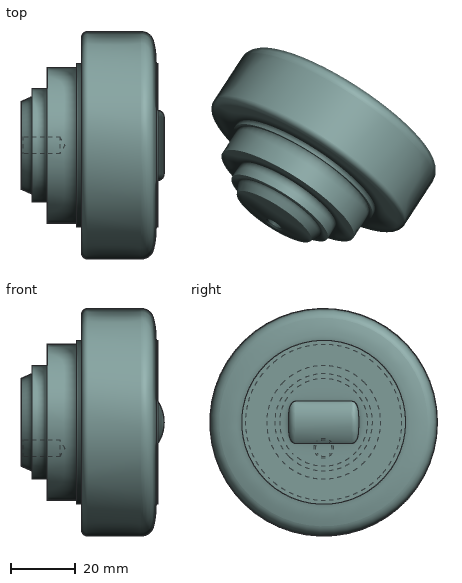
import cadquery as cq
import math

overall_length = 44.0

tip_radius = 13.5
taper_radius = 15.0
taper_end_x = 3.3
shank_radius = 17.5
shank_end_x = 8.0

flange_radius = 24.05
flange_end_x = 16.95
rim_radius = 25.25
rim_end_x = 42.05

tyre_radius = 35.05
tyre_back_x = 18.5
tyre_front_x = 41.6
back_round = 1.95
shoulder_x = 36.9
shoulder_radius = 4.0
crown_radius = 25.0
crown_start_x = 40.7

roller_radius = 11.7
roller_length = 21.7
roller_round = 2.2

hole_radius = 2.5
hole_chamfer = 0.5
hole_depth = 11.9
hole_z = -8.0
drill_half_angle = math.radians(59)


def make_core():
    """Pin, flange and inner rim as one stepped revolution about X."""
    return (
        cq.Workplane("XY")
        .lineTo(0, tip_radius)
        .lineTo(taper_end_x, taper_radius)
        .lineTo(taper_end_x, shank_radius)
        .lineTo(shank_end_x, shank_radius)
        .lineTo(shank_end_x, flange_radius)
        .lineTo(flange_end_x, flange_radius)
        .lineTo(flange_end_x, rim_radius)
        .lineTo(rim_end_x, rim_radius)
        .lineTo(rim_end_x, 0)
        .close()
        .revolve(360, (0, 0, 0), (1, 0, 0))
    )


def make_tyre():
    """Tyre revolved about X; the shoulder round leads into the crowned face."""
    join_angle = math.acos((crown_start_x - shoulder_x) / shoulder_radius)
    shoulder_centre_r = tyre_radius - shoulder_radius
    crown_start_r = shoulder_centre_r + shoulder_radius * math.sin(join_angle)
    shoulder_mid_angle = (join_angle + math.pi / 2) / 2
    shoulder_mid = (
        shoulder_x + shoulder_radius * math.cos(shoulder_mid_angle),
        shoulder_centre_r + shoulder_radius * math.sin(shoulder_mid_angle),
    )
    return (
        cq.Workplane("XY")
        .moveTo(tyre_back_x, 0)
        .lineTo(tyre_back_x, tyre_radius - back_round)
        .radiusArc((tyre_back_x + back_round, tyre_radius), back_round)
        .lineTo(shoulder_x, tyre_radius)
        .threePointArc(shoulder_mid, (crown_start_x, crown_start_r))
        .radiusArc((tyre_front_x, rim_radius), crown_radius)
        .lineTo(tyre_front_x, 0)
        .close()
        .revolve(360, (0, 0, 0), (1, 0, 0))
    )


def make_side_roller():
    """Roller with rounded end edges, centred in Y."""
    return (
        cq.Workplane("XZ")
        .center(overall_length - roller_radius, 0)
        .circle(roller_radius)
        .extrude(roller_length / 2, both=True)
        .edges("%CIRCLE")
        .fillet(roller_round)
    )


def make_hole_cutter():
    """Chamfered blind hole with a conical drill point."""
    drill_point = hole_radius / math.tan(drill_half_angle)
    return (
        cq.Workplane("XY")
        .lineTo(0, hole_radius + hole_chamfer)
        .lineTo(hole_chamfer, hole_radius)
        .lineTo(hole_depth, hole_radius)
        .lineTo(hole_depth + drill_point, 0)
        .close()
        .revolve(360, (0, 0, 0), (1, 0, 0))
        .translate((0, 0, hole_z))
    )


result = make_core().union(make_tyre()).union(make_side_roller()).cut(make_hole_cutter())